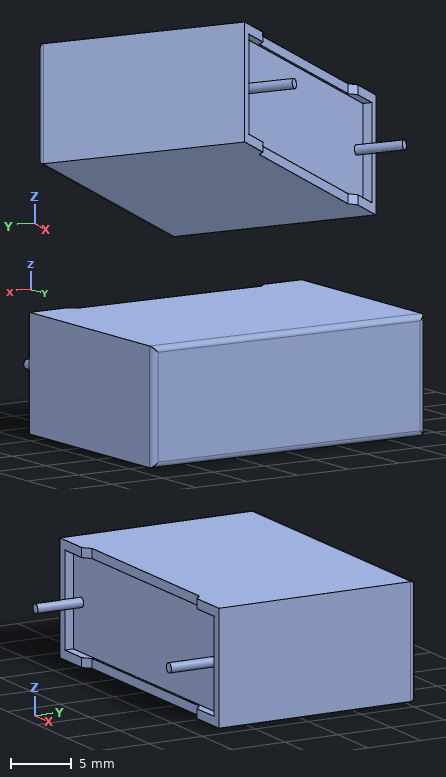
import cadquery as cq

width = 26.8
height = 10.2
total_depth = 22.1
pin_projection = 3.5
housing_depth = total_depth - pin_projection
wall = 0.85
back_edge_radius = 0.5

notch_depth = 0.6
notch_edge_offset = 3.7
notch_slope_run = 0.7

fill_recess = 0.8
cavity_depth = housing_depth - wall
fill_depth = cavity_depth - fill_recess

pin_diameter = 0.85
pin_spacing = 22.49
pin_length = pin_projection + fill_recess


def block(size_x, size_y, size_z, start_y):
    """Box centred on X and Z, running toward +Y from start_y."""
    return (
        cq.Workplane("XY")
        .box(size_x, size_y, size_z, centered=(True, False, True))
        .translate((0, start_y, 0))
    )


def make_rim_notch():
    """Trapezoid, wider at the mouth, cut through the full height."""
    half_mouth = width / 2 - notch_edge_offset
    half_floor = half_mouth - notch_slope_run
    return (
        cq.Workplane("XY")
        .polyline([
            (-half_mouth, 0),
            (half_mouth, 0),
            (half_floor, notch_depth),
            (-half_floor, notch_depth),
        ])
        .close()
        .extrude(height / 2, both=True)
    )


def make_housing():
    shell = block(width, housing_depth, height, 0).faces(">Y").edges().fillet(back_edge_radius)
    cavity = block(width - 2 * wall, cavity_depth, height - 2 * wall, 0)
    return shell.cut(cavity).cut(make_rim_notch())


def make_fill():
    return block(width - 2 * wall, fill_depth, height - 2 * wall, fill_recess)


def make_pin(x):
    """Round lead standing on the face of the fill and pointing toward -Y."""
    return (
        cq.Workplane("XZ", origin=(x, fill_recess, 0))
        .circle(pin_diameter / 2)
        .extrude(pin_length)
    )


housing = make_housing()
fill = make_fill()
pins = [make_pin(side * pin_spacing / 2) for side in (-1, 1)]

result = cq.Compound.makeCompound([housing.val(), fill.val(), *[pin.val() for pin in pins]])